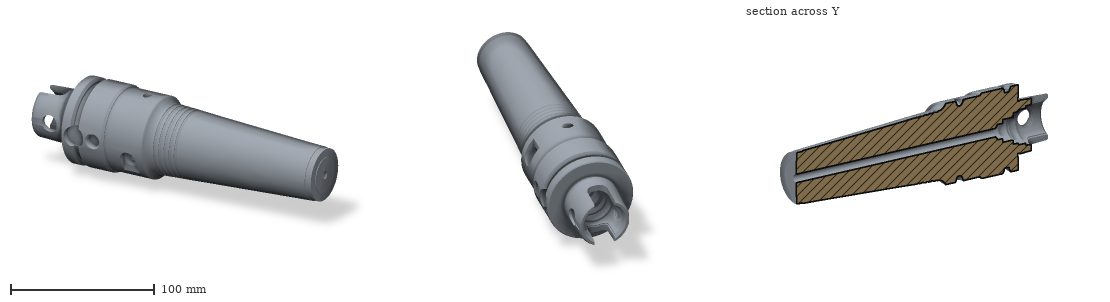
import cadquery as cq
import math

total_length = 227.0
shank_length = 31.5
shank_undercut_width = 1.4
flange_groove_start = 38.5
flange_groove_end = 45.5
collar_end = 65.5
body_end = 96.2
neck_end = 102.0
nose_start = 221.8
end_boss_height = 0.5

flange_radius = 63.0 / 2
flange_groove_radius = 28.0
body_radius = 30.0
shank_base_radius = 20.0
shank_tip_radius = 18.6
shank_undercut_depth = 0.7
taper_large_radius = 25.7
taper_small_radius = 19.5
nose_radius = 19.0
end_boss_radius = 26.0 / 2

shank_tip_chamfer = 1.5
flange_chamfer = 0.7
groove_side_slope = 1.4
groove_side_drop = 2.3
collar_chamfer_length = 1.8
collar_chamfer_drop = 1.1
body_chamfer = 0.7

face_recess_radius = 21.8
face_recess_depth = 0.7

cooling_groove_count = 5
cooling_groove_first = 102.5
cooling_groove_pitch = 4.0
cooling_groove_width = 2.0
cooling_groove_depth = 0.5
cooling_groove_slope = 0.7

through_radius = 6.0 / 2
bore_tip_radius = 16.0
bore_chamfer = 2.0
relief_size = 0.7
bore_steps = [(14.3, 25.0), (12.7, 31.8), (11.4, 36.3), (8.2, 45.5), (5.5, 50.0)]
bore_end_cone = 1.8

drive_slot_width = 15.0
drive_slot_depth = 20.2
drive_slot_corner = 4.5
shank_hole_diameter = 12.5
shank_hole_x = 15.0
key_flat_width = 5.0
key_flat_distance = 18.2

flange_pocket_diameter = 16.0
flange_pocket_x = 41.8
flange_pocket_floor = 26.0
collar_hole_x = 57.0
collar_hole_diameter = 9.3
collar_hole_mouth_diameter = 12.0
collar_hole_floor = 26.0

side_pocket_x = 84.0
side_pocket_drop = 9.3
side_pocket_width = 12.5
side_pocket_floor = 22.5
countersink_diameter = 12.0
screw_face_diameter = 8.0
screw_face_depth = 1.4
screw_socket_diameter = 5.0
screw_socket_depth = 1.0
screw_socket_cone = 1.4

slanted_hole_diameter = 6.0
slanted_hole_x = 83.5
slanted_hole_angle = 45
slanted_hole_depth = 5.5
slanted_hole_cone = 1.8


def taper_radius(x):
    """Outer radius of the long taper at position x."""
    share = (x - neck_end) / (nose_start - neck_end)
    return taper_large_radius + share * (taper_small_radius - taper_large_radius)


def shank_radius(x):
    """Outer radius of the tapered shank at position x."""
    return shank_tip_radius + x / shank_length * (shank_base_radius - shank_tip_radius)


def cooling_groove_points(start):
    """Corner points of one groove in the taper, with a steep left side and a sloping right side."""
    end = start + cooling_groove_width
    floor_end = end - cooling_groove_slope
    return [
        (start, taper_radius(start)),
        (start, taper_radius(start) - cooling_groove_depth),
        (floor_end, taper_radius(floor_end) - cooling_groove_depth),
        (end, taper_radius(end)),
    ]


def turn(sketch):
    """Revolve a closed profile, drawn as X and radius, around the X axis."""
    return sketch.close().revolve(360, (0, 0, 0), (1, 0, 0))


def neck_arc_middle():
    """Middle point of the hollow neck arc, which runs smoothly into the taper."""
    taper_angle = math.atan2(taper_large_radius - taper_small_radius, nose_start - neck_end)
    normal = cq.Vector(math.sin(taper_angle), math.cos(taper_angle))
    arc_start = cq.Vector(body_end, body_radius - body_chamfer)
    arc_end = cq.Vector(neck_end, taper_large_radius)
    chord = arc_end - arc_start
    arc_radius = -chord.dot(chord) / (2 * chord.dot(normal))
    center = arc_end + normal * arc_radius
    to_chord = (arc_start + arc_end) * 0.5 - center
    middle = center + to_chord.normalized() * arc_radius
    return (middle.x, middle.y)


def turned_body():
    undercut_start = shank_length - shank_undercut_width
    undercut_radius = shank_base_radius - shank_undercut_depth
    recess_floor = shank_length + face_recess_depth
    groove_shoulder = flange_radius - groove_side_drop
    end_face = total_length - end_boss_height
    shank_and_flange = [
        (0, shank_radius(0) - shank_tip_chamfer / 2),
        (shank_tip_chamfer, shank_radius(shank_tip_chamfer)),
        (undercut_start, shank_radius(undercut_start)),
        (shank_length, undercut_radius),
        (recess_floor, undercut_radius),
        (recess_floor, face_recess_radius),
        (shank_length, face_recess_radius),
        (shank_length, flange_radius - flange_chamfer),
        (shank_length + flange_chamfer, flange_radius),
        (flange_groove_start, flange_radius),
        (flange_groove_start + groove_side_slope, groove_shoulder),
        (flange_groove_start + groove_side_slope, flange_groove_radius),
        (flange_groove_end - groove_side_slope, flange_groove_radius),
        (flange_groove_end - groove_side_slope, groove_shoulder),
        (flange_groove_end, flange_radius),
        (collar_end - collar_chamfer_length, flange_radius),
        (collar_end, flange_radius - collar_chamfer_drop),
        (collar_end, body_radius),
        (body_end - body_chamfer, body_radius),
        (body_end, body_radius - body_chamfer),
    ]
    profile = cq.Workplane("XY").moveTo(0, 0)
    for point in shank_and_flange:
        profile = profile.lineTo(*point)
    profile = profile.threePointArc(neck_arc_middle(), (neck_end, taper_large_radius))
    for index in range(cooling_groove_count):
        start = cooling_groove_first + index * cooling_groove_pitch
        for point in cooling_groove_points(start):
            profile = profile.lineTo(*point)
    nose = [
        (nose_start, taper_small_radius),
        (nose_start, nose_radius),
        (end_face, nose_radius),
        (end_face, end_boss_radius),
        (total_length, end_boss_radius),
        (total_length, 0),
    ]
    for point in nose:
        profile = profile.lineTo(*point)
    return turn(profile)


def bore():
    profile = cq.Workplane("XY").lineTo(0, bore_tip_radius)
    start = bore_chamfer
    for radius, depth in bore_steps:
        profile = profile.lineTo(start, radius).lineTo(depth, radius)
        start = depth
    profile = profile.lineTo(start + bore_end_cone, through_radius)
    profile = profile.lineTo(total_length, through_radius).lineTo(total_length, 0)
    return turn(profile)


def drive_slot(margin=0):
    """Slot across the shank tip along Z, with rounded inner corners, widened by a margin."""
    length = 2 * (drive_slot_depth + margin)
    slot = cq.Workplane("XY").box(length, drive_slot_width + 2 * margin, 2 * flange_radius)
    return slot.edges("|Z").fillet(drive_slot_corner + margin)


def side_cylinder(x, z, diameter, inner, outer):
    """Round cutter along -Y, reaching from distance inner to distance outer."""
    plane = cq.Workplane("XZ", origin=(x, -inner, z))
    return plane.circle(diameter / 2).extrude(outer - inner)


def shank_hole(margin=0):
    """Hole through the shank along Y, widened by a margin."""
    diameter = shank_hole_diameter + 2 * margin
    return side_cylinder(shank_hole_x, 0, diameter, -flange_radius, flange_radius)


def flange_pocket():
    return side_cylinder(flange_pocket_x, 0, flange_pocket_diameter, flange_pocket_floor, flange_radius)


def collar_hole():
    """Blind hole with a conical mouth."""
    mouth_depth = (collar_hole_mouth_diameter - collar_hole_diameter) / 2
    hole = side_cylinder(collar_hole_x, 0, collar_hole_diameter, collar_hole_floor, flange_radius)
    mouth = (
        cq.Workplane("XZ", origin=(collar_hole_x, -flange_radius + mouth_depth, 0))
        .circle(collar_hole_diameter / 2)
        .workplane(offset=mouth_depth)
        .circle(collar_hole_mouth_diameter / 2)
        .loft()
    )
    return hole.union(mouth)


def side_pocket():
    """Flat-floored pocket that runs out of the body towards -Z, with a screw head in its floor."""
    x, z = side_pocket_x, -side_pocket_drop
    reach = flange_radius - side_pocket_drop
    pocket = side_cylinder(x, z, side_pocket_width, side_pocket_floor, flange_radius)
    run_out = cq.Workplane("XY").box(
        side_pocket_width, flange_radius - side_pocket_floor, reach, centered=(True, False, False)
    )
    run_out = run_out.translate((x, -flange_radius, z - reach))
    return pocket.union(run_out).union(screw_recess())


def screw_recess():
    """Countersink, screw face and cone-bottomed socket, turned around an axis along Y."""
    face = screw_face_depth
    socket_floor = face + screw_socket_depth
    profile = (
        cq.Workplane("XY")
        .lineTo(countersink_diameter / 2, 0)
        .lineTo(screw_face_diameter / 2, face)
        .lineTo(screw_socket_diameter / 2, face)
        .lineTo(screw_socket_diameter / 2, socket_floor)
        .lineTo(0, socket_floor + screw_socket_cone)
        .close()
    )
    recess = profile.revolve(360, (0, 0, 0), (0, 1, 0))
    return recess.translate((side_pocket_x, -side_pocket_floor, -side_pocket_drop))


def slanted_hole():
    """Blind hole that enters the top of the body and leans towards -Y."""
    radius = slanted_hole_diameter / 2
    profile = (
        cq.Workplane("XZ")
        .moveTo(0, slanted_hole_depth)
        .lineTo(radius, slanted_hole_depth)
        .lineTo(radius, -slanted_hole_depth)
        .lineTo(0, -slanted_hole_depth - slanted_hole_cone)
        .close()
    )
    hole = profile.revolve(360, (0, 0, 0), (0, 1, 0))
    hole = hole.rotate((0, 0, 0), (1, 0, 0), -slanted_hole_angle)
    return hole.translate((slanted_hole_x, 0, body_radius))


def key_flat():
    """Narrow flat on the outside of the shank, from the tip to the shank hole."""
    flat = cq.Workplane("XY").box(
        shank_hole_x, shank_base_radius - key_flat_distance, key_flat_width, centered=(False, False, True)
    )
    return flat.translate((0, -shank_base_radius, 0))


def inner_relief():
    """Shallow step, inside the bore, around the drive slot and the shank hole."""
    reach = cq.Workplane("YZ").circle(bore_steps[0][0] + relief_size).extrude(bore_steps[0][1])
    openings = drive_slot(relief_size).union(shank_hole(relief_size))
    return reach.intersect(openings)


result = turned_body().cut(bore())
result = result.cut(drive_slot()).cut(shank_hole()).cut(inner_relief())

for feature in (flange_pocket(), collar_hole(), side_pocket(), slanted_hole(), key_flat()):
    result = result.cut(feature)
    result = result.cut(feature.rotate((0, 0, 0), (1, 0, 0), 180))